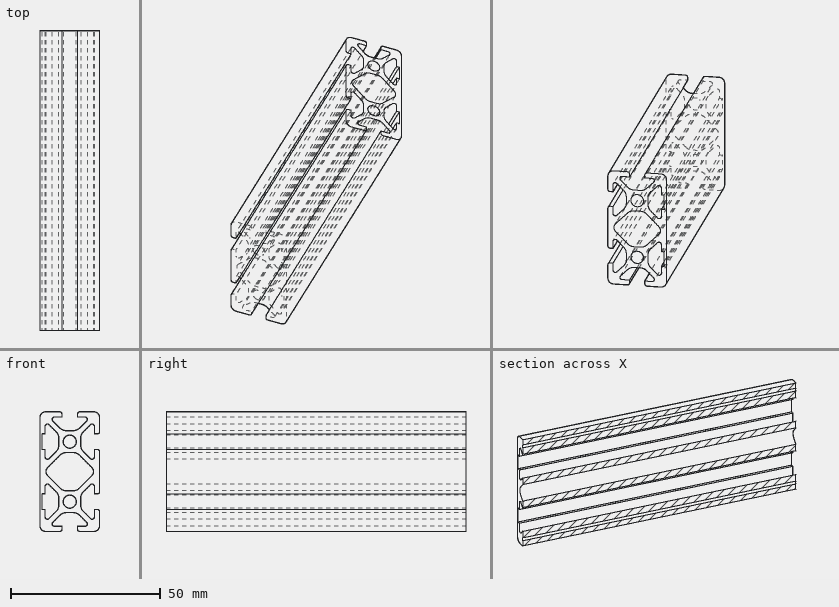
import cadquery as cq

CELL = 20.0
HALF_CELL = CELL / 2
WIDTH = CELL
HEIGHT = 2 * CELL
LENGTH = 100.0
CORNER_RADIUS = 2.0
CELL_CENTRES_Z = (-HALF_CELL, HALF_CELL)

SLOT_OPENING = 5.15
LIP_THICKNESS = 1.8
LIP_INNER_FACE = HALF_CELL - LIP_THICKNESS
LIP_EDGE_RADIUS = 0.8
SLOT_TIP_RADIUS = 0.75
CORE_FACE = 3.7
CORE_EDGE_RADIUS = 2.9
CORE_BORE_DIAMETER = 4.3

WEB_FLANK_SHIFT = 1.3

CLOSED_WALL = 0.8

CHAMBER_HALF_HEIGHT = 6.35
CHAMBER_TIP_X = HALF_CELL - WEB_FLANK_SHIFT
CHAMBER_FLAT_RADIUS = 3.0
CHAMBER_TIP_RADIUS = 1.95


def extruded(outline_points):
    """Extrude a closed XZ outline over the full length, centred on Y = 0."""
    outline = cq.Workplane("XZ").polyline(outline_points).close()
    return outline.extrude(LENGTH / 2, both=True)


def rounded(body, edge_positions, radius):
    """Fillet the lengthwise edges that pass through the given (x, z) positions."""
    for x, z in edge_positions:
        nearest = cq.selectors.NearestToPointSelector((x, 0, z))
        body = body.edges("|Y").edges(nearest).fillet(radius)
    return body


def make_slot(opening_depth):
    """Slot cutter for a cell centred on the Y axis, facing +Z, opening up to opening_depth."""
    floor_half = CORE_FACE - WEB_FLANK_SHIFT
    tip_half = LIP_INNER_FACE - WEB_FLANK_SHIFT
    floor_corners = [(-floor_half, CORE_FACE), (floor_half, CORE_FACE)]
    tips = [(tip_half, LIP_INNER_FACE), (-tip_half, LIP_INNER_FACE)]
    cavity = extruded(floor_corners + tips)
    cavity = rounded(cavity, floor_corners, CORE_EDGE_RADIUS)
    cavity = rounded(cavity, tips, SLOT_TIP_RADIUS)

    opening = cq.Workplane("XY", origin=(0, 0, LIP_INNER_FACE)).rect(SLOT_OPENING, LENGTH)
    opening = opening.extrude(opening_depth - LIP_INNER_FACE)
    return cavity.union(opening)


def make_chamber():
    """Cutter for the central chamber: a diamond with flat, rounded top and bottom."""
    flat_half = CHAMBER_TIP_X - CHAMBER_HALF_HEIGHT
    top_corners = [(-flat_half, CHAMBER_HALF_HEIGHT), (flat_half, CHAMBER_HALF_HEIGHT)]
    bottom_corners = [(flat_half, -CHAMBER_HALF_HEIGHT), (-flat_half, -CHAMBER_HALF_HEIGHT)]
    right_tip = (CHAMBER_TIP_X, 0)
    left_tip = (-CHAMBER_TIP_X, 0)
    chamber = extruded(top_corners + [right_tip] + bottom_corners + [left_tip])
    chamber = rounded(chamber, top_corners + bottom_corners, CHAMBER_FLAT_RADIUS)
    return rounded(chamber, [left_tip, right_tip], CHAMBER_TIP_RADIUS)


def round_lips(body):
    """Round the outer edges of the slot lips on the +X side and on both ends in Z."""
    half_opening = SLOT_OPENING / 2
    positions = []
    for side in (-1, 1):
        positions += [(side * half_opening, z) for z in (-HEIGHT / 2, HEIGHT / 2)]
        positions += [(WIDTH / 2, z + side * half_opening) for z in CELL_CENTRES_Z]
    return rounded(body, positions, LIP_EDGE_RADIUS)


def turned(body, angle, centre_z):
    """Turn a cutter about Y by angle degrees, then move it to a cell centre."""
    return body.rotate((0, 0, 0), (0, 1, 0), angle).translate((0, 0, centre_z))


def make_profile():
    """Rounded bar with open slots on +X and both Z ends, and closed pockets on -X."""
    body = cq.Workplane("XY").box(WIDTH, LENGTH, HEIGHT)
    body = body.edges("|Y").fillet(CORNER_RADIUS)

    open_slot = make_slot(HALF_CELL)
    closed_pocket = make_slot(HALF_CELL - CLOSED_WALL)
    for centre_z in CELL_CENTRES_Z:
        outward_angle = 0 if centre_z > 0 else 180
        body = body.cut(turned(open_slot, outward_angle, centre_z))
        body = body.cut(turned(open_slot, 90, centre_z))
        body = body.cut(turned(closed_pocket, -90, centre_z))

    bores = cq.Workplane("XZ").pushPoints([(0, z) for z in CELL_CENTRES_Z])
    bores = bores.circle(CORE_BORE_DIAMETER / 2).extrude(LENGTH / 2, both=True)
    body = body.cut(bores).cut(make_chamber())
    return round_lips(body)


result = make_profile()